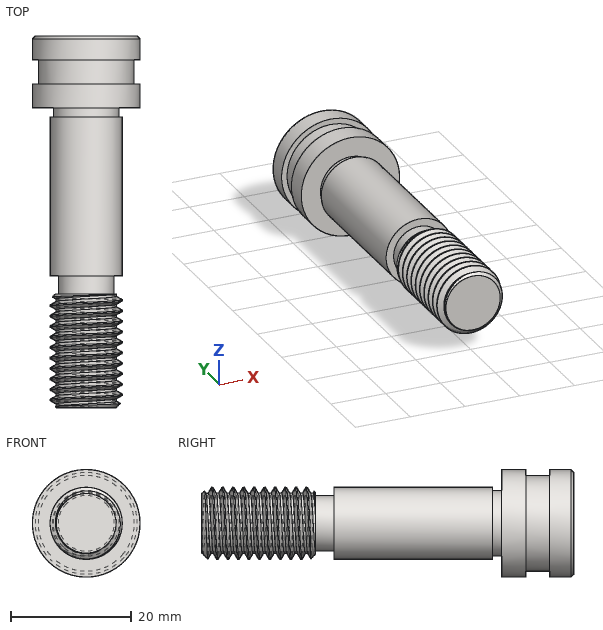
import cadquery as cq
import math

total_length = 62.0
head_diameter = 18.0
head_groove_diameter = 16.0
head_band_length = 4.0
head_length = 12.0
head_chamfer = 0.5
undercut_diameter = 11.0
undercut_length = 1.5
shank_diameter = 12.0
shank_end = 22.0
relief_diameter = 9.3

thread_length = 19.0
ten_turn_length = 17.5
thread_pitch = ten_turn_length / 10
thread_root_diameter = 10.1
thread_crest_width = 0.22
tip_chamfer = 1.05
inner_chamfer = 0.85
first_crest_height = 0.45
flank_half_angle = math.radians(30)
ridge_embedment = 0.05
envelope_clearance = 0.6


def cylinder(diameter, bottom, top):
    """Solid cylinder on the screw axis between two heights."""
    return cq.Workplane("XY").workplane(offset=bottom).circle(diameter / 2).extrude(top - bottom)


def make_head():
    """Head with a wide central groove and a chamfered outer face."""
    bottom = total_length - head_length
    head = cylinder(head_diameter, bottom, total_length)
    head = head.faces(">Z").edges().chamfer(head_chamfer)
    groove_bottom = bottom + head_band_length
    groove_top = total_length - head_band_length
    ring = cylinder(head_diameter, groove_bottom, groove_top)
    ring = ring.cut(cylinder(head_groove_diameter, groove_bottom, groove_top))
    return head.cut(ring)


def make_thread_envelope():
    """Double cone trimming the thread ends; it stands clear of the crests between the chamfers."""
    crest_radius = shank_diameter / 2
    outer_radius = crest_radius + envelope_clearance
    tip_radius = crest_radius - tip_chamfer
    inner_radius = crest_radius - inner_chamfer
    return (
        cq.Workplane("XZ")
        .polyline([
            (0, 0),
            (tip_radius, 0),
            (outer_radius, outer_radius - tip_radius),
            (outer_radius, thread_length - (outer_radius - inner_radius)),
            (inner_radius, thread_length),
            (0, thread_length),
        ])
        .close()
        .revolve(360, (0, 0, 0), (0, 1, 0))
    )


def make_thread():
    """Right-handed threaded end: a helical ridge on a core, trimmed to length with chamfered ends."""
    crest_radius = shank_diameter / 2
    base_radius = thread_root_diameter / 2 - ridge_embedment
    crest_half_width = thread_crest_width / 2
    base_half_width = crest_half_width + (crest_radius - base_radius) * math.tan(flank_half_angle)

    ridge_start = first_crest_height - thread_pitch
    turns = math.ceil((thread_length - ridge_start) / thread_pitch) + 1
    ridge_length = turns * thread_pitch
    helix = cq.Wire.makeHelix(thread_pitch, ridge_length, base_radius)
    ridge = (
        cq.Workplane("XZ")
        .polyline([
            (base_radius, -base_half_width),
            (crest_radius, -crest_half_width),
            (crest_radius, crest_half_width),
            (base_radius, base_half_width),
        ])
        .close()
        .sweep(cq.Workplane(obj=helix), isFrenet=True)
        .translate((0, 0, ridge_start))
    )
    core_bottom = ridge_start - thread_pitch
    core_top = ridge_start + ridge_length + thread_pitch
    core = cylinder(thread_root_diameter, core_bottom, core_top)
    return core.union(ridge).intersect(make_thread_envelope())


head_underside = total_length - head_length
shank_top = head_underside - undercut_length

screw = make_head()
screw = screw.union(cylinder(undercut_diameter, shank_top, head_underside))
screw = screw.union(cylinder(shank_diameter, shank_end, shank_top))
screw = screw.union(cylinder(relief_diameter, thread_length, shank_end))
screw = screw.union(make_thread())

result = screw.translate((0, 0, -total_length / 2)).rotate((0, 0, 0), (1, 0, 0), -90)